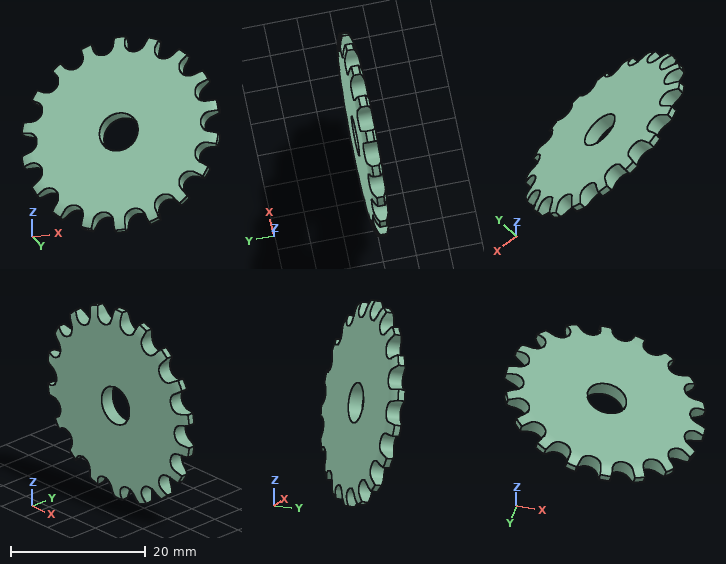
import cadquery as cq
import math

tooth_count = 18
outer_radius = 15.45
thickness = 2.3
bore_diameter = 6.0

pitch_radius = 14.4
seat_radius = 1.6
seat_end_angle = 8.5
flank_radius = 9.27

side_radius = 5.0
tip_thickness = 1.05

half_thickness = thickness / 2
half_tip = tip_thickness / 2
tooth_pitch_angle = 360 / tooth_count


def make_blank():
    """Disc turned about the Y axis, with both faces curving in at the rim."""
    side_drop = half_thickness - half_tip
    side_reach = math.sqrt(side_radius**2 - (side_radius - side_drop) ** 2)
    flat_radius = outer_radius - side_reach

    half_sweep = math.asin(side_reach / side_radius) / 2
    mid_x = flat_radius + side_radius * math.sin(half_sweep)
    mid_y = half_thickness - side_radius * (1 - math.cos(half_sweep))

    return (
        cq.Workplane("XY")
        .moveTo(0, -half_thickness)
        .lineTo(flat_radius, -half_thickness)
        .threePointArc((mid_x, -mid_y), (outer_radius, -half_tip))
        .lineTo(outer_radius, half_tip)
        .threePointArc((mid_x, mid_y), (flat_radius, half_thickness))
        .lineTo(0, half_thickness)
        .close()
        .revolve(360, (0, 0, 0), (0, 1, 0))
    )


def make_gullet():
    """Cutter for the tooth gap that points along +Z."""
    start_angle = math.radians(seat_end_angle)
    flank_x = (seat_radius + flank_radius) * math.cos(start_angle)
    flank_z = pitch_radius - (seat_radius + flank_radius) * math.sin(start_angle)

    open_height = outer_radius + seat_radius / 2
    end_angle = math.asin((open_height - flank_z) / flank_radius)

    def flank_point(angle, side):
        x = flank_x - flank_radius * math.cos(angle)
        z = flank_z + flank_radius * math.sin(angle)
        return side * x, z

    mid_angle = (start_angle + end_angle) / 2
    return (
        cq.Workplane("XZ")
        .moveTo(*flank_point(end_angle, -1))
        .threePointArc(flank_point(mid_angle, -1), flank_point(start_angle, -1))
        .threePointArc((0, pitch_radius - seat_radius), flank_point(start_angle, 1))
        .threePointArc(flank_point(mid_angle, 1), flank_point(end_angle, 1))
        .close()
        .extrude(half_thickness, both=True)
    )


sprocket = make_blank()

gullet = make_gullet()
for index in range(tooth_count):
    gap_angle = (index + 0.5) * tooth_pitch_angle
    sprocket = sprocket.cut(gullet.rotate((0, 0, 0), (0, 1, 0), gap_angle))

bore = cq.Workplane("XZ").circle(bore_diameter / 2).extrude(half_thickness, both=True)
result = sprocket.cut(bore)